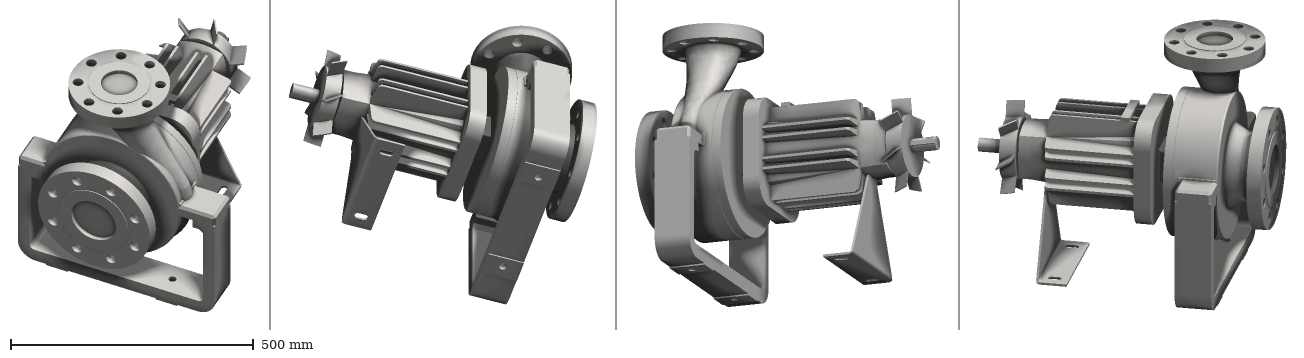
import cadquery as cq
import math

overall_length = 622.0
raised_face = 2.0
bore_recess = 9.5

suction_flange_dia = 254.0
suction_flange_back = 32.0
suction_raised_dia = 157.5
suction_bore_dia = 101.5
suction_bolt_circle = 201.5
suction_neck_dia = 146.0
suction_cone_start = 58.0
suction_cone_dia = 179.0
cone_foot_fillet = 5.0

outlet_flange_dia = 210.0
outlet_flange_thickness = 30.5
outlet_raised_dia = 127.0
outlet_bore_dia = 76.0
outlet_bolt_circle = 170.0
outlet_top = 280.5
outlet_y = 126.0
outlet_pipe_radius = 58.5
outlet_pipe_bend = (
    (18.0, 205.5, 68, 43.0, 50.0),
    (40.0, 171.0, 55, 35.0, 42.5),
    (96.0, 91.0, 53, 30.0, 32.5),
)

volute_ring_radius = 142.5
volute_tail = ((19, 23.0), (0, 23.5), (-25, 19.0), (-45, 14.5), (-60, 9.0))

bolt_hole_dia = 22.5
bolt_hole_count = 8

casing_dia = 309.0
casing_front = 88.0
casing_back = 202.0
casing_edge_fillet = 4.0
cover_joint = 182.5
joint_groove = 1.0

neck_side = 70.0
neck_edge_fillet = 4.5
neck_flare = 2.5
plate_front = 236.5
plate_back = 272.0
plate_side = 230.0
plate_corner_radius = 50.5

body_back = 528.0
body_taper_start = 502.0
body_back_corner = 48.0
body_back_bulge = 58.0
body_front_corner = 64.0
body_front_bulge = 74.5

fin_root_back = 470.5
fin_tip_back = 463.5
fin_tip = 99.5
fin_root = 43.5
fin_root_thickness = 17.0
fin_tip_thickness = 5.5
fin_corner = 9.5
fin_offsets = (22.5, 44.0)

name_plate_size = (97.0, 18.5, 9.0)
name_plate_y = 304.0
name_plate_z = 103.0

shaft_dia = 28.5
collar_dia = 35.0
key_width = 9.0
key_top = 18.0
fan_front = 532.5
fan_back = 567.0
fan_hub_dia = 130.0
fan_tip_dia = 199.0
blade_count = 7
blade_thickness = 3.0
blade_pitch_angle = -32.0

frame_left = -213.0
frame_width = 447.5
frame_back = 165.0
frame_wall = 26.0
frame_floor = 29.0
frame_outer_radius = 40.0
frame_inner_radius = 12.0
frame_bottom = -249.5
foot_bottom = -252.5
foot_pad_outer = 149.5
foot_pad_inner = 99.5
foot_hole_dia = 16.0
foot_hole_x = 121.0
cap_top = 25.5
cap_chamfer = 5.5
arm_flare = 4.0
bracket_bottom = -20.0
bracket_reach = 50.5
bracket_chamfer = 9.0

support_back = 478.5
support_front = 414.0
support_thickness = 5.0
support_width = 230.0
support_top_width = 31.0
support_top = -50.0
support_bend_radius = 4.5
support_lug_width = 25.0
support_lug_bottom = -81.0
support_slot_length = 28.5
support_slot_width = 14.0
support_slot_x = 86.5
support_slot_y = 444.5


def disc(dia, y_start, y_end):
    """Cylinder on the pump axis between two Y stations."""
    return (
        cq.Workplane("XZ", origin=(0, y_start, 0))
        .circle(dia / 2)
        .extrude(y_start - y_end)
    )


def box(x_start, x_end, y_start, y_end, z_start, z_end):
    """Box given by its limits along each axis."""
    size = (x_end - x_start, y_end - y_start, z_end - z_start)
    return cq.Workplane("XY").box(*size, centered=False).translate((x_start, y_start, z_start))


def flange(dia, thickness, raised_dia, bolt_circle):
    """Drilled flange with its raised face on top at z = 0."""
    half_step = 180 / bolt_hole_count
    return (
        cq.Workplane("XY", origin=(0, 0, -raised_face))
        .circle(dia / 2)
        .extrude(-thickness)
        .faces(">Z").workplane()
        .polarArray(bolt_circle / 2, half_step, 360, bolt_hole_count)
        .hole(bolt_hole_dia)
        .union(cq.Workplane("XY").circle(raised_dia / 2).extrude(-raised_face - thickness / 2))
    )


def recess(dia):
    """Blind bore cutter below z = 0."""
    return cq.Workplane("XY").circle(dia / 2).extrude(-bore_recess)


def to_suction(shape):
    """Turn a flange that faces +Z so that it faces -Y at y = 0."""
    return shape.rotate((0, 0, 0), (1, 0, 0), 90)


def to_outlet(shape):
    """Lift a flange that faces +Z to the discharge position."""
    return shape.translate((0, outlet_y, outlet_top))


def make_casing():
    front = disc(casing_dia, casing_front, cover_joint)
    front = front.faces("<Y").edges().fillet(casing_edge_fillet)
    joint = disc(casing_dia - 2 * joint_groove, cover_joint, cover_joint + joint_groove)
    cover = disc(casing_dia, cover_joint + joint_groove, casing_back)
    cone = (
        cq.Workplane("XZ", origin=(0, suction_cone_start, 0))
        .circle(suction_neck_dia / 2)
        .workplane(offset=suction_cone_start - casing_front)
        .circle(suction_cone_dia / 2)
        .loft(ruled=True)
    )
    neck = disc(suction_neck_dia, suction_flange_back, suction_cone_start)
    casing = front.union(joint).union(cover).union(cone)
    cone_foot = casing.edges("%CIRCLE").filter(
        lambda edge: math.isclose(edge.radius(), suction_cone_dia / 2, rel_tol=1e-3)
    )
    return cone_foot.fillet(cone_foot_fillet).union(neck)


def loft_channel(sections):
    """Smooth channel through ellipses across the flow, centred on the discharge plane.

    Each section is: centre x, centre z, flow angle below +X in degrees,
    half width in the plane of the bend, half width along Y.
    """
    wires = []
    for x, z, angle, bend_half, axial_half in sections:
        turn = math.radians(angle)
        flow = cq.Vector(math.cos(turn), 0, -math.sin(turn))
        plane = cq.Plane(origin=(x, outlet_y, z), xDir=(0, 1, 0), normal=flow)
        outline = cq.Workplane(plane).ellipse(axial_half, bend_half)
        wires.append(outline.wire().val())
    return cq.Workplane(cq.Solid.makeLoft(wires))


def make_volute():
    """Channel that fades out around the casing, and the pipe from it up to the discharge flange."""
    tail = []
    for position, radius in volute_tail:
        turn = math.radians(position)
        tail.append((volute_ring_radius * math.cos(turn), volute_ring_radius * math.sin(turn),
                     90 - position, radius, radius))
    pipe_top = (0.0, outlet_top - outlet_flange_thickness, 90, outlet_pipe_radius, outlet_pipe_radius)
    pipe = [pipe_top, *outlet_pipe_bend, tail[0]]
    return loft_channel(pipe).union(loft_channel(tail))


def make_frame():
    right = frame_left + frame_width
    outer = box(frame_left, right, casing_front, frame_back, frame_bottom, 0)
    outer = outer.edges("|Y and <Z").fillet(frame_outer_radius)
    opening = box(frame_left + frame_wall, right - frame_wall, casing_front, frame_back,
                  frame_bottom + frame_floor, 0)
    opening = opening.edges("|Y and <Z").fillet(frame_inner_radius)
    frame = outer.cut(opening)
    for pad_start in (-foot_pad_outer, foot_pad_inner):
        pad_end = pad_start + foot_pad_outer - foot_pad_inner
        frame = frame.union(box(pad_start, pad_end, casing_front, frame_back,
                                foot_bottom, frame_bottom + frame_floor / 2))
    holes = (
        cq.Workplane("XY", origin=(0, (casing_front + frame_back) / 2, foot_bottom))
        .pushPoints([(-foot_hole_x, 0), (foot_hole_x, 0)])
        .circle(foot_hole_dia / 2)
        .extrude(2 * frame_floor)
    )
    frame = frame.cut(holes)
    for outer_x, inward, outer_side in ((frame_left, 1, "<X"), (right, -1, ">X")):
        inner_x = -inward * casing_dia * 0.4
        cap = box(min(outer_x, inner_x), max(outer_x, inner_x), casing_front, frame_back, 0, cap_top)
        cap = cap.edges(f"({outer_side} and (not <Z)) or (>Z and |X)").chamfer(cap_chamfer)
        flare = box(min(outer_x, inner_x), max(outer_x, inner_x), casing_front + casing_edge_fillet,
                    frame_back + arm_flare, 0, cap_top + arm_flare)
        flare = flare.intersect(disc(casing_dia + 2 * arm_flare, casing_front, casing_back))
        cap = cap.union(flare)
        bracket = (
            cq.Workplane("XZ", origin=(0, casing_front, 0))
            .moveTo(outer_x, 0)
            .lineTo(outer_x + inward * bracket_reach, 0)
            .lineTo(outer_x + inward * bracket_reach, bracket_bottom)
            .lineTo(outer_x + inward * (frame_wall + bracket_chamfer), bracket_bottom)
            .lineTo(outer_x + inward * frame_wall, bracket_bottom - bracket_chamfer)
            .lineTo(outer_x, bracket_bottom - bracket_chamfer)
            .close()
            .extrude(casing_front - frame_back)
        )
        frame = frame.union(cap).union(bracket)
    return frame


def make_neck():
    middle = (casing_back + plate_front) / 2
    neck = (
        cq.Workplane("XY")
        .box(neck_side, plate_front - casing_back + 12.5, neck_side)
        .edges("|Y").fillet(neck_edge_fillet)
        .translate((0, middle, 0))
    )
    flare_side = neck_side + 2 * neck_flare
    flare = (
        cq.Workplane("XZ", origin=(0, plate_front, 0))
        .rect(flare_side, flare_side)
        .extrude(neck_flare, taper=45)
    )
    return neck.union(flare)


def bulged_square(y, corner, bulge):
    """Square wire across the axis whose four sides bow outwards."""
    return (
        cq.Workplane("XZ", origin=(0, y, 0))
        .moveTo(-corner, -corner)
        .threePointArc((0, -bulge), (corner, -corner))
        .threePointArc((bulge, 0), (corner, corner))
        .threePointArc((0, bulge), (-corner, corner))
        .threePointArc((-bulge, 0), (-corner, -corner))
        .close()
        .wire().val()
    )


def make_fin():
    """Fin standing up from the axis, thinner at its tip and rounded at its rear corner."""
    section = (
        cq.Workplane("XZ", origin=(0, plate_back, 0))
        .moveTo(-fin_root_thickness / 2, fin_root)
        .lineTo(fin_root_thickness / 2, fin_root)
        .lineTo(fin_tip_thickness / 2, fin_tip)
        .lineTo(-fin_tip_thickness / 2, fin_tip)
        .close()
        .extrude(plate_back - fin_root_back)
    )
    side_outline = (
        cq.Workplane("YZ")
        .moveTo(plate_back, fin_root)
        .lineTo(fin_root_back, fin_root)
        .lineTo(fin_tip_back, fin_tip)
        .lineTo(plate_back, fin_tip)
        .close()
        .extrude(fin_root_thickness, both=True)
        .edges(cq.NearestToPointSelector((0, fin_tip_back, fin_tip))).fillet(fin_corner)
    )
    return section.intersect(side_outline)


def make_motor():
    plate = (
        cq.Workplane("XZ", origin=(0, plate_front, 0))
        .rect(plate_side, plate_side)
        .extrude(plate_front - plate_back)
        .edges("|Y").fillet(plate_corner_radius)
    )
    back = bulged_square(body_back, body_back_corner, body_back_bulge)
    taper_start = bulged_square(body_taper_start, body_back_corner, body_back_bulge)
    front = bulged_square(plate_back, body_front_corner, body_front_bulge)
    motor = plate.union(cq.Workplane(cq.Solid.makeLoft([front, taper_start], True)))
    motor = motor.union(cq.Workplane(cq.Solid.makeLoft([taper_start, back], True)))
    fin = make_fin()
    for side in range(4):
        for offset in fin_offsets:
            for sign in (-1, 1):
                placed = fin.translate((sign * offset, 0, 0))
                motor = motor.union(placed.rotate((0, 0, 0), (0, 1, 0), 90 * side))
    name_plate = cq.Workplane("XY").box(*name_plate_size)
    return motor.union(name_plate.translate((0, name_plate_y, name_plate_z)))


def make_shaft_and_fan():
    shaft = disc(shaft_dia, body_back - 6, overall_length)
    collar = disc(collar_dia, body_back - 6, fan_front + 6)
    key = box(0, key_top, fan_back - 6, overall_length, -key_width / 2, key_width / 2)
    hub = disc(fan_hub_dia, fan_front, fan_back)
    envelope = disc(fan_tip_dia, fan_front, fan_back)
    fan_middle = (fan_front + fan_back) / 2
    blade_root = fan_hub_dia / 2 - 6
    blade_length = fan_tip_dia / 2 - blade_root
    blade = (
        cq.Workplane("XY")
        .box(blade_length + 6, 2 * (fan_back - fan_front), blade_thickness)
        .rotate((0, 0, 0), (1, 0, 0), blade_pitch_angle)
        .translate((-blade_root - blade_length / 2, fan_middle, 0))
        .intersect(envelope)
    )
    fan = hub
    for index in range(blade_count):
        fan = fan.union(blade.rotate((0, 0, 0), (0, 1, 0), 360 / blade_count * index))
    return shaft.union(collar).union(key).union(fan)


def make_support():
    web_front = support_back - support_thickness
    web = (
        cq.Workplane("XZ", origin=(0, support_back, 0))
        .moveTo(-support_width / 2, foot_bottom)
        .lineTo(support_width / 2, foot_bottom)
        .lineTo(support_top_width / 2, support_top)
        .lineTo(-support_top_width / 2, support_top)
        .close()
        .extrude(support_thickness)
    )
    foot = box(-support_width / 2, support_width / 2, support_front, support_back,
               foot_bottom, foot_bottom + support_thickness)
    slots = (
        cq.Workplane("XY", origin=(0, support_slot_y, foot_bottom))
        .pushPoints([(-support_slot_x, 0), (support_slot_x, 0)])
        .slot2D(support_slot_length, support_slot_width, 90)
        .extrude(2 * support_thickness)
    )
    outer_bend = cq.NearestToPointSelector((0, support_back, foot_bottom))
    inner_bend = cq.NearestToPointSelector((0, web_front, foot_bottom + support_thickness))
    bent = web.union(foot).edges(inner_bend).fillet(support_bend_radius)
    bent = bent.edges(outer_bend).fillet(support_bend_radius + support_thickness)
    lug = box(-support_lug_width / 2, support_lug_width / 2, fin_tip_back, web_front,
              support_lug_bottom, support_top)
    return bent.union(lug).cut(slots)


suction_flange = to_suction(flange(suction_flange_dia, suction_flange_back - raised_face,
                                   suction_raised_dia, suction_bolt_circle))
outlet_flange = to_outlet(flange(outlet_flange_dia, outlet_flange_thickness,
                                 outlet_raised_dia, outlet_bolt_circle))

result = make_casing()
for section in (suction_flange, make_volute(), outlet_flange, make_frame(), make_neck(),
                make_motor(), make_shaft_and_fan(), make_support()):
    result = result.union(section)
result = result.cut(to_suction(recess(suction_bore_dia))).cut(to_outlet(recess(outlet_bore_dia)))